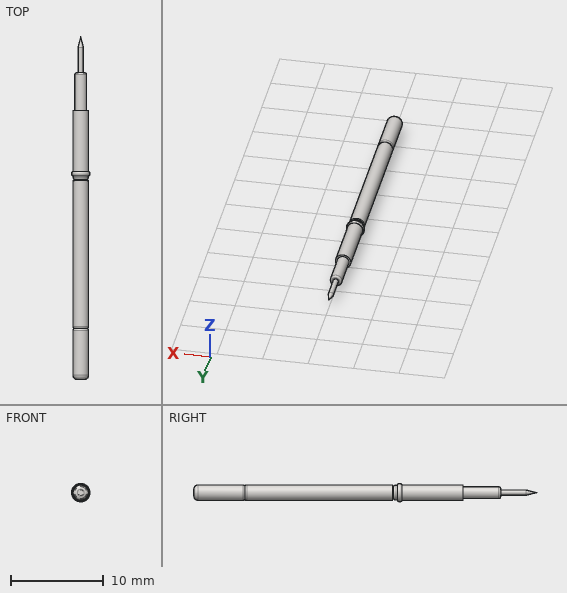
import cadquery as cq
import math


overall_length = 37.0
tail_groove_center = 5.5
neck_start = 21.45
collar_start = 21.98
collar_end = 22.45
barrel_end = 29.05
plunger_end = 33.1
tip_cone_start = 35.85

barrel_radius = 1.7 / 2
neck_radius = 1.63 / 2
collar_crown_radius = 2.0 / 2
collar_rim_radius = 1.78 / 2
plunger_radius = 1.3 / 2
needle_radius = 0.6 / 2

tail_fillet = 0.48
plunger_fillet = 0.22
lip_length = 0.22
groove_depth = 0.1
neck_slot_width = 0.1
neck_groove_bottom = neck_start + neck_slot_width


def rod(radius, start, end):
    """Solid cylinder on the Y axis between two axial positions."""
    return cq.Workplane("XZ", origin=(0, start, 0)).circle(radius).extrude(start - end)


def spin(profile):
    """Close a profile of (radius, axial position) points and turn it about the Y axis."""
    return profile.close().revolve(360, (0, 0, 0), (0, 1, 0))


def make_barrel():
    """Tail tube with a rounded end, stepping down to a neck just behind the collar."""
    tail_tube = rod(barrel_radius, 0, neck_start).faces("<Y").edges().fillet(tail_fillet)
    neck = rod(neck_radius, neck_start, collar_start)
    front_tube = rod(barrel_radius, collar_start, barrel_end)
    return tail_tube.union(neck).union(front_tube)


def make_collar():
    """Press ring with a crowned outer surface."""
    collar_middle = (collar_start + collar_end) / 2
    return spin(
        cq.Workplane("XY")
        .moveTo(0, collar_start)
        .lineTo(collar_rim_radius, collar_start)
        .threePointArc((collar_crown_radius, collar_middle), (collar_rim_radius, collar_end))
        .lineTo(0, collar_end)
    )


def make_plunger():
    """Plunger rod with a rounded front edge."""
    return rod(plunger_radius, barrel_end, plunger_end).faces(">Y").edges().fillet(plunger_fillet)


def make_needle():
    """Thin needle with a sharp conical point."""
    return spin(
        cq.Workplane("XY")
        .moveTo(0, plunger_end)
        .lineTo(needle_radius, plunger_end)
        .lineTo(needle_radius, tip_cone_start)
        .lineTo(0, overall_length)
    )


def make_lip_cutter(surface_radius, bottom, direction):
    """Ring that rounds a tube edge over, tangent to its surface, down to the groove bottom.

    The rounded lip lies on the side of the bottom given by direction: +1 for +Y, -1 for -Y.
    """
    lip_radius = (lip_length**2 + groove_depth**2) / (2 * groove_depth)
    half_angle = math.asin(lip_length / lip_radius) / 2
    arc_middle = (
        surface_radius - lip_radius * (1 - math.cos(half_angle)),
        bottom + direction * (lip_length - lip_radius * math.sin(half_angle)),
    )
    return spin(
        cq.Workplane("XY")
        .moveTo(surface_radius, bottom)
        .lineTo(surface_radius - groove_depth, bottom)
        .threePointArc(arc_middle, (surface_radius, bottom + direction * lip_length))
    )


def make_neck_groove():
    """Groove between the square tail-tube end and the rounded edge of the neck."""
    slot = rod(neck_radius, neck_start, neck_groove_bottom)
    slot = slot.cut(rod(neck_radius - groove_depth, neck_start, neck_groove_bottom))
    return slot.union(make_lip_cutter(neck_radius, neck_groove_bottom, 1))


result = make_barrel().union(make_collar()).union(make_plunger()).union(make_needle())
result = result.cut(make_neck_groove())

for side in (1, -1):
    result = result.cut(make_lip_cutter(barrel_radius, tail_groove_center, side))